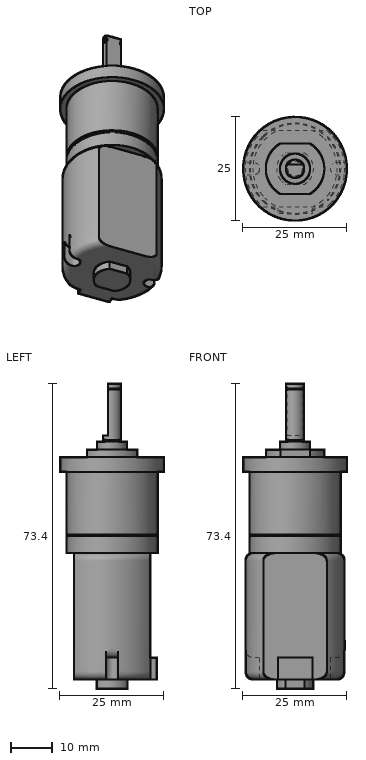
import cadquery as cq
import math

case_bottom = 2.2
case_top = 32.65
spacer_top = 36.7
gearbox_bottom = 37.15
flange_bottom = 52.2
flange_top = 55.7
pilot_top = 57.55
collar_top = 59.45
shaft_bottom = 59.9
shaft_flat_bottom = 61.0
ring_groove_bottom = 72.0
ring_groove_top = 72.3
shaft_top = 73.4

case_diameter = 23.9
case_flat_width = 18.4
case_rounding = 1.8

gearbox_diameter = 22.0
joint_groove_diameter = 21.5
flange_diameter = 25.0

pilot_diameter = 14.1
pilot_flat_width = 12.2
boss_diameter = 8.8
boss_flat_width = 7.5

collar_diameter = 7.3
shaft_diameter = 4.4
shaft_neck_diameter = 3.5
ring_groove_diameter = 4.0
shaft_flat_offset = 1.0

slot_width = 2.9
slot_top = 9.5
slot_lip_radius = 2.0
slot_ceiling = slot_top - slot_lip_radius
block_width = 8.3
block_thickness = 1.55
block_top = slot_ceiling


def disc(diameter, bottom, top):
    return cq.Workplane("XY").workplane(offset=bottom).circle(diameter / 2).extrude(top - bottom)


def slab(x_range, y_range, z_range):
    """Box spanning the given (low, high) ranges."""
    sizes = [high - low for low, high in (x_range, y_range, z_range)]
    corner = (x_range[0], y_range[0], z_range[0])
    return cq.Workplane("XY").box(*sizes, centered=False).translate(corner)


def with_flats(body, diameter, width, bottom, top):
    """Trim a round body to the given width across Y."""
    radius = diameter / 2
    return body.intersect(slab((-radius, radius), (-width / 2, width / 2), (bottom, top)))


def side_slot():
    """Cutter for the slot on the -X side, with a half-round floor and a rounded lip above it."""
    outer = case_diameter / 2
    reach = 2 * outer
    floor_axis_x = -outer + slot_lip_radius
    half_width = slot_width / 2
    slot_floor = disc(slot_width, case_bottom, slot_ceiling).translate((floor_axis_x, 0, 0))
    slot_mouth = slab((-reach, floor_axis_x), (-half_width, half_width), (case_bottom, slot_ceiling))
    lip_offset = slot_lip_radius * math.sqrt(0.5)
    lip_clearance = (
        cq.Workplane("XZ")
        .moveTo(-outer, slot_top)
        .threePointArc((floor_axis_x - lip_offset, slot_top - lip_offset), (floor_axis_x, slot_ceiling))
        .lineTo(-reach, slot_ceiling)
        .lineTo(-reach, slot_top)
        .close()
        .extrude(half_width, both=True)
    )
    return slot_mouth.union(slot_floor).union(lip_clearance)


def motor_case():
    body = disc(case_diameter, case_bottom, case_top).edges().fillet(case_rounding)
    body = with_flats(body, case_diameter, case_flat_width, case_bottom, case_top)
    slot = side_slot()
    return body.cut(slot).cut(slot.mirror("YZ"))


def terminal_block():
    flat_y = -case_flat_width / 2
    half_width = block_width / 2
    return slab((-half_width, half_width), (flat_y - block_thickness, 0), (case_bottom, block_top))


def flatted_disc(diameter, width, bottom, top):
    return with_flats(disc(diameter, bottom, top), diameter, width, bottom, top)


def output_shaft():
    radius = shaft_diameter / 2
    shaft = (
        disc(shaft_neck_diameter, collar_top, shaft_bottom)
        .union(disc(shaft_diameter, shaft_bottom, ring_groove_bottom))
        .union(disc(ring_groove_diameter, ring_groove_bottom, ring_groove_top))
        .union(disc(shaft_diameter, ring_groove_top, shaft_top))
    )
    flat_cut = slab((-radius, radius), (shaft_flat_offset, radius), (shaft_flat_bottom, shaft_top))
    return shaft.cut(flat_cut)


sections = [
    flatted_disc(boss_diameter, boss_flat_width, 0, case_bottom),
    terminal_block(),
    disc(gearbox_diameter, case_top, spacer_top),
    disc(joint_groove_diameter, spacer_top, gearbox_bottom),
    disc(gearbox_diameter, gearbox_bottom, flange_bottom),
    disc(flange_diameter, flange_bottom, flange_top),
    flatted_disc(pilot_diameter, pilot_flat_width, flange_top, pilot_top),
    disc(collar_diameter, pilot_top, collar_top),
    output_shaft(),
]

result = motor_case()
for section in sections:
    result = result.union(section)